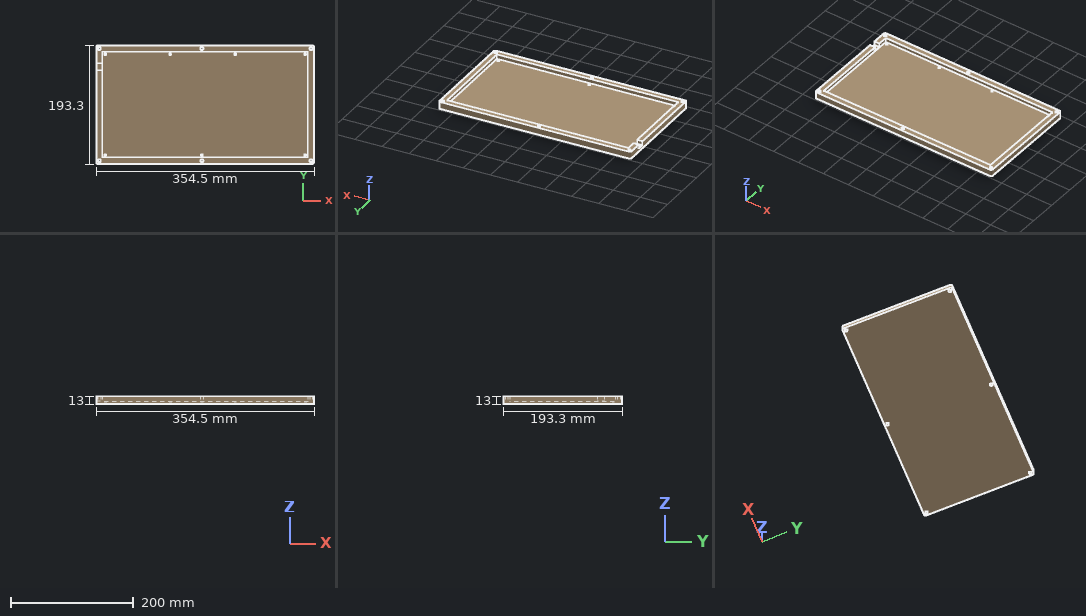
import cadquery as cq

length = 354.5
width = 193.3
height = 13.0
corner_radius = 3.0

end_wall = 10.0
side_wall = 10.5
pocket_depth = 8.0
floor_thickness = height - pocket_depth

notch_width = 11.7
notch_depth = 7.0
notch_from_back = 34.8

rim_hole_diameter = 4.5
rim_hole_x_inset = 5.0
rim_hole_y_inset = 5.3
rim_hole_x = length / 2 - rim_hole_x_inset
rim_hole_y = width / 2 - rim_hole_y_inset
middle_x = -5.3

screw_hole_diameter = 3.0
screw_hole_depth = floor_thickness / 2
screw_hole_inset = 14.5
screw_hole_x = length / 2 - screw_hole_inset
screw_hole_y = width / 2 - screw_hole_inset
back_left_x = -57.0
back_right_x = 49.0


def tray_block():
    block = cq.Workplane("XY").box(length, width, height, centered=(True, True, False))
    return block.edges("|Z").fillet(corner_radius)


def pocket():
    return (
        cq.Workplane("XY", origin=(0, 0, floor_thickness))
        .rect(length - 2 * end_wall, width - 2 * side_wall)
        .extrude(pocket_depth)
    )


def cable_notch():
    return (
        cq.Workplane("XY", origin=(-length / 2, width / 2 - notch_from_back, height - notch_depth))
        .box(end_wall, notch_width, notch_depth, centered=(False, True, False))
    )


def hole_cutters(points, diameter, bottom, depth):
    return (
        cq.Workplane("XY", origin=(0, 0, bottom))
        .pushPoints(points)
        .circle(diameter / 2)
        .extrude(depth)
    )


rim_hole_points = [
    (x, y)
    for x in (-rim_hole_x, middle_x, rim_hole_x)
    for y in (-rim_hole_y, rim_hole_y)
]

front_screw_points = [(x, -screw_hole_y) for x in (-screw_hole_x, middle_x, screw_hole_x)]
back_screw_points = [
    (x, screw_hole_y) for x in (-screw_hole_x, back_left_x, back_right_x, screw_hole_x)
]
screw_points = front_screw_points + back_screw_points
screw_hole_bottom = floor_thickness - screw_hole_depth

result = (
    tray_block()
    .cut(pocket())
    .cut(cable_notch())
    .cut(hole_cutters(rim_hole_points, rim_hole_diameter, 0, height))
    .cut(hole_cutters(screw_points, screw_hole_diameter, screw_hole_bottom, screw_hole_depth))
)